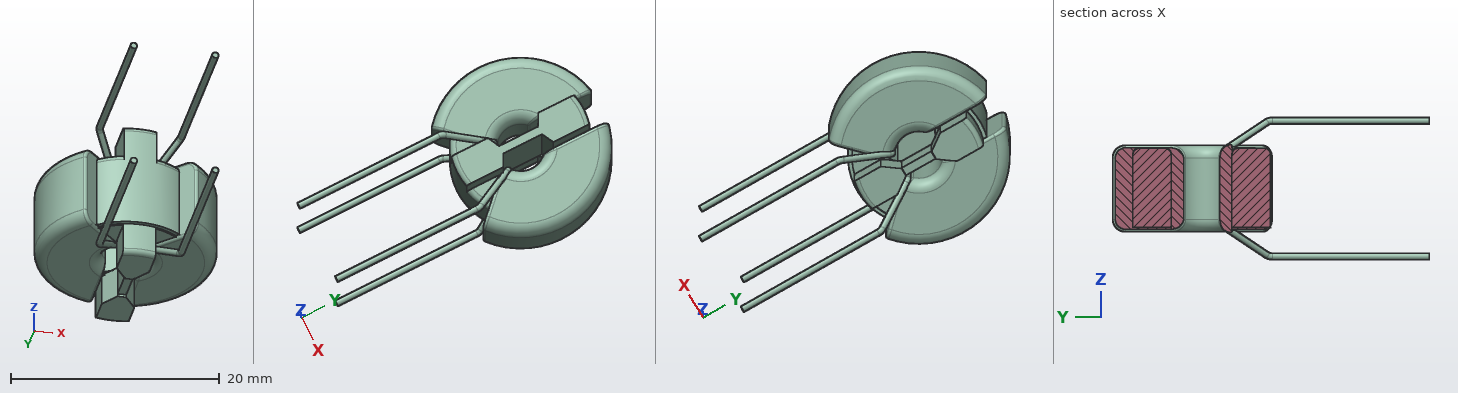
import cadquery as cq

case_radius = 6.8
case_hole_radius = 3.3
case_top = 3.9
case_bottom = -3.75
case_edge_fillet = 0.6

lid_radius = 6.4
lid_thickness = 0.15
lid_bottom = case_bottom - lid_thickness

divider_half_width = 1.6
web_half_thickness = 0.42
divider_top = 7.0
divider_bottom = -7.0
divider_end_fillet = 0.5
top_waist_outer_y = 2.7
top_waist_inner_y = 2.08
bottom_waist_outer_y = 3.3
bottom_waist_inner_y = 1.65
bottom_web_recess = 0.28

winding_radius = 8.75
winding_hole_radius = 2.3
winding_half_height = 4.15
winding_rim_fillet = 1.2
winding_end_fillet = 0.3
slant_start_y = -3.02

wire_radius = 0.32
lead_x = 4.0
lead_z = 6.5
lead_tip_y = -21.82
bend_y = -6.45
bend_setback = 0.3
hole_wire_x = 1.5
hole_wire_y = -2.1
hole_wire_z = 3.6


def ring(outer_radius, inner_radius, bottom, top):
    return (
        cq.Workplane("XY", origin=(0, 0, bottom))
        .circle(outer_radius)
        .circle(inner_radius)
        .extrude(top - bottom)
    )


def divider(radius, waist_outer_y, waist_inner_y, bottom, top, end_edges):
    """Bar with a thin web in the middle and round, filleted ends."""
    bar = (
        cq.Workplane("XY", origin=(0, 0, bottom))
        .rect(2 * divider_half_width, 2 * radius)
        .extrude(top - bottom)
    )
    cylinder = cq.Workplane("XY", origin=(0, 0, bottom)).circle(radius).extrude(top - bottom)
    bar = bar.intersect(cylinder).edges(end_edges).edges("%CIRCLE").fillet(divider_end_fillet)
    for side in (-1, 1):
        waist = (
            cq.Workplane("XY", origin=(0, 0, bottom))
            .moveTo(side * divider_half_width, waist_outer_y)
            .lineTo(side * web_half_thickness, waist_inner_y)
            .lineTo(side * web_half_thickness, -waist_inner_y)
            .lineTo(side * divider_half_width, -waist_outer_y)
            .close()
            .extrude(top - bottom)
        )
        bar = bar.cut(waist)
    return bar


def make_case():
    body = ring(case_radius, case_hole_radius, case_bottom, case_top)
    body = body.faces(">Z").edges().fillet(case_edge_fillet)
    bar = divider(case_radius, top_waist_outer_y, top_waist_inner_y, case_bottom, divider_top, ">Z")
    return body.union(bar)


def make_lid():
    body = ring(lid_radius, case_hole_radius, lid_bottom, case_bottom)
    bar = divider(
        lid_radius, bottom_waist_outer_y, bottom_waist_inner_y, divider_bottom, case_bottom, "<Z"
    )
    web_recess = cq.Workplane("XY", origin=(0, 0, divider_bottom)).box(
        2 * divider_half_width, 2 * bottom_waist_inner_y, bottom_web_recess,
        centered=(True, True, False),
    )
    return body.union(bar).cut(web_recess)


def rounded_path(points):
    """Wire centre line through the points, with an arc at each inner corner."""
    corners = [cq.Vector(*point) for point in points]
    edges = []
    start = corners[0]
    for before, corner, after in zip(corners, corners[1:], corners[2:]):
        direction_in = (corner - before).normalized()
        direction_out = (after - corner).normalized()
        arc_start = corner - direction_in * bend_setback
        arc_end = corner + direction_out * bend_setback
        edges.append(cq.Edge.makeLine(start, arc_start))
        edges.append(cq.Edge.makeTangentArc(arc_start, direction_in, arc_end))
        start = arc_end
    edges.append(cq.Edge.makeLine(start, corners[-1]))
    return cq.Wire.assembleEdges(edges)


def make_left_wire():
    """The wire runs up through the hole and leaves at both ends as leads toward -Y."""
    upper_points = [
        (-hole_wire_x, hole_wire_y, hole_wire_z),
        (-lead_x, bend_y, lead_z),
        (-lead_x, lead_tip_y, lead_z),
    ]
    lower_points = [(x, y, -z) for x, y, z in reversed(upper_points)]
    path = rounded_path(lower_points + upper_points)
    return cq.Workplane("XZ", origin=lower_points[0]).circle(wire_radius).sweep(path)


def make_left_winding(case, lid):
    """Rounded half-ring wrapped around the case and lid, cut out to fit them."""
    body = ring(winding_radius, winding_hole_radius, -winding_half_height, winding_half_height)
    body = body.faces("|Z").edges().fillet(winding_rim_fillet)
    reach = 2 * winding_radius
    sector = (
        cq.Workplane("XY", origin=(0, 0, -winding_half_height))
        .moveTo(-divider_half_width, reach)
        .lineTo(-divider_half_width, slant_start_y)
        .lineTo(-divider_half_width - reach, slant_start_y - reach)
        .lineTo(-divider_half_width - reach, reach)
        .close()
        .extrude(2 * winding_half_height)
    )
    body = body.intersect(sector)
    body = body.faces("#Z").faces("%PLANE").edges().fillet(winding_end_fillet)
    return body.union(make_left_wire()).cut(case).cut(lid)


case = make_case()
lid = make_lid()
left_winding = make_left_winding(case, lid)
right_winding = left_winding.mirror("YZ")

bodies = [case, lid, left_winding, right_winding]
result = cq.Compound.makeCompound([body.solids().val() for body in bodies])